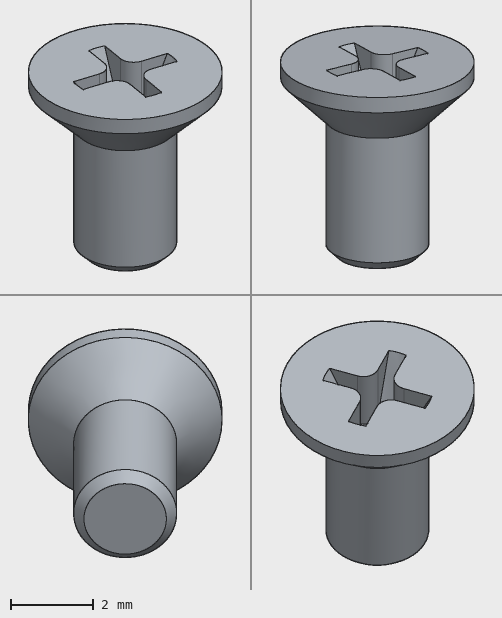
import cadquery as cq

total_length = 5.0
head_diameter = 4.7
head_rim_height = 0.4
shank_diameter = 2.5
tip_chamfer = 0.25

recess_top_diameter = 2.7
recess_floor_diameter = 1.25
recess_depth = 1.6
slot_width = 0.45
inner_corner_radius = 0.375

head_radius = head_diameter / 2
shank_radius = shank_diameter / 2
head_height = head_rim_height + head_radius - shank_radius


def screw_blank():
    """Head, shank and chamfered tip, revolved about Z."""
    return (
        cq.Workplane("XZ")
        .moveTo(0, 0)
        .lineTo(head_radius, 0)
        .lineTo(head_radius, -head_rim_height)
        .lineTo(shank_radius, -head_height)
        .lineTo(shank_radius, tip_chamfer - total_length)
        .lineTo(shank_radius - tip_chamfer, -total_length)
        .lineTo(0, -total_length)
        .close()
        .revolve(360, (0, 0, 0), (0, 1, 0))
    )


def cross_prism():
    """Straight-sided cross with rounded inner corners."""
    slot = (
        cq.Workplane("XY")
        .workplane(offset=-recess_depth)
        .rect(head_diameter, slot_width)
        .extrude(recess_depth)
    )
    cross = slot.union(slot.rotate((0, 0, 0), (0, 0, 1), 90))
    inner_edges = cq.selectors.BoxSelector(
        (-slot_width, -slot_width, -recess_depth),
        (slot_width, slot_width, 0),
    )
    return cross.edges("|Z").edges(inner_edges).fillet(inner_corner_radius)


def recess_cone():
    """Tapered envelope that closes the ends of the cross arms."""
    return (
        cq.Workplane("XY")
        .circle(recess_top_diameter / 2)
        .workplane(offset=-recess_depth)
        .circle(recess_floor_diameter / 2)
        .loft(ruled=True)
    )


result = screw_blank().cut(cross_prism().intersect(recess_cone()))